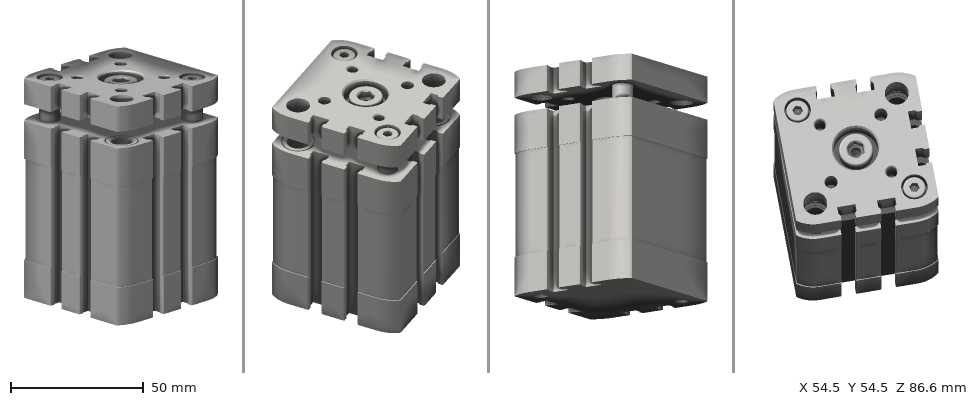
import cadquery as cq
import math

overall_width = 54.5
half_width = overall_width / 2
corner_start = 18.9
corner_arc_radius = 14.5
corner_end_x = 24.9
corner_end_y = 26.6
corner_flat_x = 24.3
band_relief = 0.3

slot_offset = 7.6
slot_mouth = 5.5
slot_width = 6.9
slot_depth = 5.4
slot_lip = 2.0
slot_shoulder = 0.7
lip_chamfer = 0.3

housing_height = 70.0
band_height = 15.0
plate_bottom = 76.55
plate_top = 86.6

guide_offset = 19.0
small_hole_offset = 11.6
rod_corners = [(-guide_offset, -guide_offset), (guide_offset, guide_offset)]
screw_corners = [(-guide_offset, guide_offset), (guide_offset, -guide_offset)]
thread_places = [(-small_hole_offset, -small_hole_offset), (small_hole_offset, small_hole_offset)]
pin_places = [(-small_hole_offset, small_hole_offset), (small_hole_offset, -small_hole_offset)]

mount_bore_diameter = 8.6
mount_bore_depth = 10.0
mount_seat_diameter = 10.0
mount_seat_depth = 0.3
mount_through_diameter = 5.0
mount_through_chamfer = 0.4
ring_groove_outer = 13.0
ring_groove_inner = 11.9
ring_groove_depth = 0.9
guide_seat_diameter = 10.0
guide_seat_depth = 0.1

access_hole_diameter = 9.0
pin_hole_diameter = 4.9
thread_hole_diameter = 4.2
thread_chamfer = 0.4
recess_depth = 6.0
hexagon_sides = 6

guide_rod_diameter = 8.0
guide_recess_diameter = 10.0
guide_head_diameter = 8.5
guide_head_drop = 0.6
guide_head_fillet = 0.6
guide_socket_corners = 4.0
guide_socket_depth = 3.0
guide_socket_turn = 15

piston_rod_diameter = 12.0
rod_flat_width = 10.0
rod_flat_bottom = 71.3
rod_ledge_rise = 0.6
centre_recess_diameter = 17.0
centre_recess_chamfer = 0.6
centre_head_diameter = 12.8
centre_head_drop = 1.1
centre_head_fillet = 0.7
centre_socket_flats = 6.0
centre_socket_mouth = 7.2
centre_socket_depth = 3.0
centre_drill_diameter = 4.0
centre_drill_depth = 3.0
cone_slope = 0.6


def cylinder(diameter, bottom, top, places=((0, 0),)):
    return (
        cq.Workplane("XY", origin=(0, 0, bottom))
        .pushPoints(places)
        .circle(diameter / 2)
        .extrude(top - bottom)
    )


def cone(bottom_diameter, top_diameter, bottom, top, places=((0, 0),)):
    cones = cq.Workplane("XY")
    for x, y in places:
        solid = cq.Solid.makeCone(
            bottom_diameter / 2, top_diameter / 2, top - bottom, cq.Vector(x, y, bottom))
        cones = cones.add(solid)
    return cones.combine()


def outline(bottom, top, relief):
    """Rounded square block whose sides are moved inward by `relief`."""
    side = half_width - relief
    end_x = corner_end_x - relief
    end_y = corner_end_y - relief
    flat_x = corner_flat_x - relief
    chord_x = end_x - side
    chord_y = end_y - corner_start
    chord = math.hypot(chord_x, chord_y)
    sagitta = corner_arc_radius - math.sqrt(corner_arc_radius**2 - (chord / 2) ** 2)
    mid_x = (side + end_x) / 2 + sagitta * chord_y / chord
    mid_y = (corner_start + end_y) / 2 - sagitta * chord_x / chord
    return (
        cq.Workplane("XY", origin=(0, 0, bottom))
        .moveTo(side, -corner_start)
        .lineTo(side, corner_start)
        .threePointArc((mid_x, mid_y), (end_x, end_y))
        .lineTo(flat_x, side)
        .lineTo(-flat_x, side)
        .lineTo(-end_x, end_y)
        .threePointArc((-mid_x, mid_y), (-side, corner_start))
        .lineTo(-side, -corner_start)
        .threePointArc((-mid_x, -mid_y), (-end_x, -end_y))
        .lineTo(-flat_x, -side)
        .lineTo(flat_x, -side)
        .lineTo(end_x, -end_y)
        .threePointArc((mid_x, -mid_y), (side, -corner_start))
        .close()
        .extrude(top - bottom)
    )


def slot_cutters(bottom, top, relief):
    """The six T-slots, cut into sides that are moved inward by `relief`."""
    face = half_width - relief
    floor = half_width - slot_depth
    lip = half_width - slot_lip
    shoulder = lip - slot_shoulder
    mouth_in = slot_offset - slot_mouth / 2
    mouth_out = slot_offset + slot_mouth / 2
    wide_in = slot_offset - slot_width / 2
    wide_out = slot_offset + slot_width / 2
    slot = (
        cq.Workplane("XY", origin=(0, 0, bottom))
        .polyline([
            (floor, wide_in),
            (shoulder, wide_in),
            (lip, mouth_in),
            (face - lip_chamfer, mouth_in),
            (face, mouth_in - lip_chamfer),
            (face, mouth_out + lip_chamfer),
            (face - lip_chamfer, mouth_out),
            (lip, mouth_out),
            (shoulder, wide_out),
            (floor, wide_out),
        ])
        .close()
        .extrude(top - bottom)
    )
    pair = slot.union(slot.mirror("XZ"))
    cutters = pair
    for angle in (180, 270):
        cutters = cutters.union(pair.rotate((0, 0, 0), (0, 0, 1), angle))
    return cutters


def profile(bottom, top, relief=0):
    """Block with the T-slots; their floors stay in line whatever the relief."""
    return outline(bottom, top, relief).cut(slot_cutters(bottom, top, relief))


def make_housing():
    upper_band = housing_height - band_height
    body = (
        profile(0, band_height)
        .union(profile(band_height, upper_band, band_relief))
        .union(profile(upper_band, housing_height))
    )

    bore_floor = housing_height - mount_bore_depth
    body = body.cut(cylinder(mount_through_diameter, 0, housing_height, screw_corners))
    body = body.cut(cylinder(mount_bore_diameter, bore_floor, housing_height, screw_corners))
    body = body.cut(cone(
        mount_through_diameter, mount_through_diameter + 2 * mount_through_chamfer,
        bore_floor - mount_through_chamfer, bore_floor, screw_corners))
    body = body.cut(cylinder(
        mount_seat_diameter, housing_height - mount_seat_depth, housing_height, screw_corners))
    groove_floor = housing_height - ring_groove_depth
    groove = cylinder(ring_groove_outer, groove_floor, housing_height, screw_corners)
    groove = groove.cut(cylinder(ring_groove_inner, groove_floor, housing_height, screw_corners))
    body = body.cut(groove)

    seat_floor = housing_height - guide_seat_depth
    return body.cut(cylinder(guide_seat_diameter, seat_floor, housing_height, rod_corners))


def make_piston_rod():
    rod = cylinder(piston_rod_diameter, housing_height, plate_bottom)
    inner = rod_flat_width / 2
    outer = piston_rod_diameter / 2
    flat = (
        cq.Workplane("YZ")
        .polyline([
            (outer, rod_flat_bottom),
            (outer, plate_bottom),
            (inner, plate_bottom),
            (inner, rod_flat_bottom + rod_ledge_rise),
        ])
        .close()
        .extrude(outer, both=True)
    )
    return rod.cut(flat).cut(flat.mirror("XZ"))


def make_centre_head():
    head_top = plate_top - centre_head_drop
    head = cylinder(centre_head_diameter, plate_top - recess_depth, head_top)
    return head.faces(">Z").edges().fillet(centre_head_fillet)


def centre_socket_cutter():
    """Hexagon socket with a countersunk mouth and a coned, drilled floor."""
    socket_top = plate_top - centre_head_drop
    socket_floor = socket_top - centre_socket_depth
    socket_corners = centre_socket_flats / math.cos(math.pi / hexagon_sides)
    hexagon = (
        cq.Workplane("XY", origin=(0, 0, socket_floor))
        .polygon(hexagon_sides, socket_corners)
        .extrude(centre_socket_depth)
    )
    mouth_depth = (centre_socket_mouth - centre_socket_flats) / 2
    mouth = cone(centre_socket_flats, centre_socket_mouth, socket_top - mouth_depth, socket_top)
    floor_depth = cone_slope * centre_socket_flats / 2
    floor = cone(0, centre_socket_flats, socket_floor - floor_depth, socket_floor)
    drill_floor = socket_floor - centre_drill_depth
    drill = cylinder(centre_drill_diameter, drill_floor, socket_floor)
    tip_depth = cone_slope * centre_drill_diameter / 2
    tip = cone(0, centre_drill_diameter, drill_floor - tip_depth, drill_floor)
    return hexagon.union(mouth).union(floor).union(drill).union(tip)


def make_yoke():
    yoke = profile(plate_bottom, plate_top)
    recess_floor = plate_top - recess_depth

    yoke = yoke.cut(cylinder(access_hole_diameter, plate_bottom, plate_top, screw_corners))
    yoke = yoke.cut(cylinder(pin_hole_diameter, plate_bottom, plate_top, pin_places))
    yoke = yoke.cut(cylinder(thread_hole_diameter, plate_bottom, plate_top, thread_places))
    yoke = yoke.cut(cone(
        thread_hole_diameter, thread_hole_diameter + 2 * thread_chamfer,
        plate_top - thread_chamfer, plate_top, thread_places))

    yoke = yoke.union(cylinder(
        guide_rod_diameter, housing_height - guide_seat_depth, plate_bottom, rod_corners))
    yoke = yoke.cut(cylinder(guide_recess_diameter, recess_floor, plate_top, rod_corners))
    head_top = plate_top - guide_head_drop
    heads = cylinder(guide_head_diameter, recess_floor, head_top, rod_corners)
    heads = heads.faces(">Z").edges().fillet(guide_head_fillet)
    yoke = yoke.union(heads)
    for x, y in rod_corners:
        socket = (
            cq.Workplane("XY")
            .polygon(hexagon_sides, guide_socket_corners)
            .extrude(-guide_socket_depth)
            .rotate((0, 0, 0), (0, 0, 1), guide_socket_turn)
            .translate((x, y, head_top))
        )
        yoke = yoke.cut(socket)

    yoke = yoke.union(make_piston_rod())
    yoke = yoke.cut(cylinder(centre_recess_diameter, recess_floor, plate_top))
    yoke = yoke.cut(cone(
        centre_recess_diameter, centre_recess_diameter + 2 * centre_recess_chamfer,
        plate_top - centre_recess_chamfer, plate_top))
    return yoke.union(make_centre_head()).cut(centre_socket_cutter())


housing = make_housing()
yoke = make_yoke()

result = cq.Compound.makeCompound([housing.val(), yoke.val()])